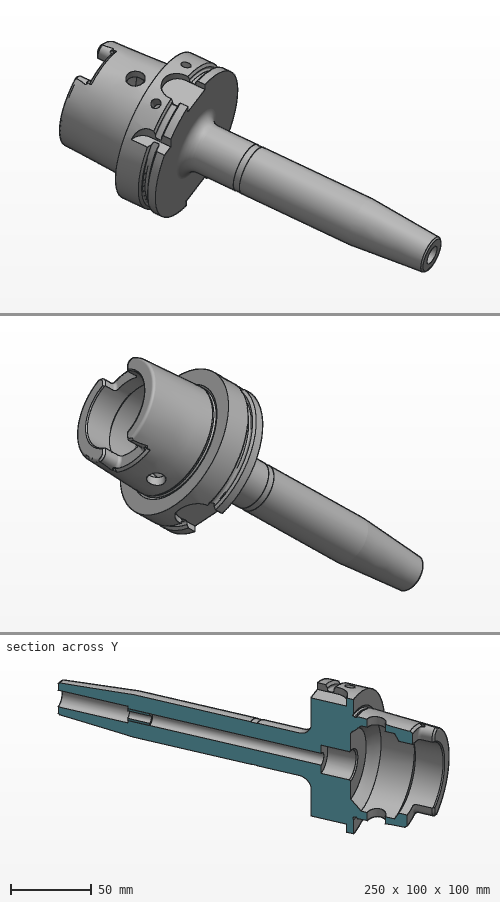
import cadquery as cq
import math


total_length = 250.0
flange_start = 50.0
flange_width = 29.0
flange_end = flange_start + flange_width

taper_start_radius = 35.7
taper_end_radius = 38.1
mouth_round = 1.8
relief_width = 2.5
relief_start = flange_start - relief_width
relief_radius = 37.2
relief_step = 0.8
relief_flat = 1.0
face_recess_inner_radius = 38.0
face_recess_radius = 39.4
face_recess_depth = 0.5

bore_radius = 26.5
bore_chamfer = 0.8
bore_straight_depth = 19.5
clamp_radius = 31.5
clamp_shoulder_angle = 60.0
clamp_shoulder_length = (clamp_radius - bore_radius) / math.tan(math.radians(clamp_shoulder_angle))
bore_floor_radius = 24.4
bore_depth = 52.0
bore_floor_chamfer = clamp_radius - bore_floor_radius
tube_seat_radius = 11.2
tube_seat_inner_radius = 10.3
tube_seat_depth = 20.0
tube_seat_chamfer = tube_seat_radius - tube_seat_inner_radius
cross_hole_diameter = 12.0
cross_hole_x = 34.7

drive_slot_half_width = 10.2
drive_corner_radius = 5.0
upper_slot_depth = 10.0
lower_slot_depth = 13.7
drive_floor_fillet = 2.0
drive_mouth_chamfer = 1.3
drive_slot_runout = 5.0
drive_slot_inner_z = 15.0
drive_slot_outer_z = 45.0
floor_chamfer_length = 1.8
floor_chamfer_depth = 1.6

flange_radius = 50.0
groove_center_x = flange_start + 20.0
groove_half_width = 3.4
groove_bottom_radius = 45.6
groove_flare_angle = 30.0
groove_wall_half = 2.2
groove_corner_round = 1.1
groove_flare_depth = (groove_half_width - groove_wall_half) / math.tan(math.radians(groove_flare_angle))

keyway_start = 55.0
upper_key_half_width = 10.2
lower_key_half_width = 12.5
key_floor_z = 44.0
notch_start = 54.8
notch_cutter_radius = 9.5
notch_wall_y = -31.2
notch_floor_z = 31.4

balance_hole_diameter = 6.4
balance_hole_x = 59.7
balance_hole_depth = 10.0
balance_hole_angles = (-23.0, 20.0)
drill_point_angle = 118.0

neck_radius = 16.0
neck_fillet = 8.0
band_start = 115.2
band_end = 119.6
band_depth = 0.2
tip_radius = 12.0
tip_chamfer = 1.0
tip_taper_angle = 4.5
tip_taper_length = (neck_radius - tip_radius) / math.tan(math.radians(tip_taper_angle))

tool_bore_radius = 6.0
tool_bore_depth = 47.0
screw_radius = 4.2
screw_bore_radius = 2.6
screw_length = 15.0
screw_end = total_length - tool_bore_depth


def revolve_about_x(outline):
    """Turn a closed (x, radius) outline about the X axis."""
    return outline.close().revolve(360, (0, 0, 0), (1, 0, 0))


def turned_body():
    flare_end_radius = flange_radius - groove_flare_depth
    corner_radius = groove_bottom_radius + groove_corner_round
    groove_bottom_half = groove_wall_half - groove_corner_round
    neck_start = flange_end + neck_fillet
    outline = (
        cq.Workplane("XY")
        .moveTo(0, 0)
        .lineTo(0, taper_start_radius)
        .lineTo(relief_start, taper_end_radius)
        .lineTo(relief_start + relief_step, relief_radius)
        .lineTo(relief_start + relief_step + relief_flat, relief_radius)
        .lineTo(flange_start + face_recess_depth, face_recess_inner_radius)
        .lineTo(flange_start, face_recess_radius)
        .lineTo(flange_start, flange_radius)
        .lineTo(groove_center_x - groove_half_width, flange_radius)
        .lineTo(groove_center_x - groove_wall_half, flare_end_radius)
        .lineTo(groove_center_x - groove_wall_half, corner_radius)
        .radiusArc((groove_center_x - groove_bottom_half, groove_bottom_radius), -groove_corner_round)
        .lineTo(groove_center_x + groove_bottom_half, groove_bottom_radius)
        .radiusArc((groove_center_x + groove_wall_half, corner_radius), -groove_corner_round)
        .lineTo(groove_center_x + groove_wall_half, flare_end_radius)
        .lineTo(groove_center_x + groove_half_width, flange_radius)
        .lineTo(flange_end, flange_radius)
        .lineTo(flange_end, neck_radius + neck_fillet)
        .radiusArc((neck_start, neck_radius), -neck_fillet)
        .lineTo(band_start, neck_radius)
        .lineTo(band_start, neck_radius - band_depth)
        .lineTo(band_end, neck_radius - band_depth)
        .lineTo(band_end, neck_radius)
        .lineTo(total_length - tip_taper_length, neck_radius)
        .lineTo(total_length, tip_radius)
        .lineTo(total_length, 0)
    )
    body = revolve_about_x(outline)
    body = body.faces("<X").edges().fillet(mouth_round)
    return body.faces(">X").edges().chamfer(tip_chamfer)


def inner_passage():
    seat_end = bore_depth + tube_seat_depth
    outline = (
        cq.Workplane("XY")
        .moveTo(0, 0)
        .lineTo(0, bore_radius + bore_chamfer)
        .lineTo(bore_chamfer, bore_radius)
        .lineTo(bore_straight_depth, bore_radius)
        .lineTo(bore_straight_depth + clamp_shoulder_length, clamp_radius)
        .lineTo(bore_depth - bore_floor_chamfer, clamp_radius)
        .lineTo(bore_depth, bore_floor_radius)
        .lineTo(bore_depth, tube_seat_radius)
        .lineTo(bore_depth + tube_seat_chamfer, tube_seat_inner_radius)
        .lineTo(seat_end, tube_seat_inner_radius)
        .lineTo(seat_end, screw_radius)
        .lineTo(screw_end, screw_radius)
        .lineTo(screw_end, tool_bore_radius)
        .lineTo(total_length, tool_bore_radius)
        .lineTo(total_length, 0)
    )
    return revolve_about_x(outline)


def cross_hole():
    return (
        cq.Workplane("XY")
        .center(cross_hole_x, 0)
        .circle(cross_hole_diameter / 2)
        .extrude(flange_radius, both=True)
    )


def taper_radius(x):
    return taper_start_radius + (taper_end_radius - taper_start_radius) * x / relief_start


def drive_slot_outline(depth):
    """Slot section across X, flaring through rounded land corners into the outer taper."""
    land_radius = taper_radius(depth)
    center_y = drive_slot_half_width + drive_corner_radius
    center_distance = land_radius - drive_corner_radius
    center_z = math.sqrt(center_distance**2 - center_y**2)
    out_y = center_y / center_distance
    out_z = center_z / center_distance
    tangent_y = land_radius * out_y
    tangent_z = land_radius * out_z
    half_angle = (math.pi + math.atan2(out_z, out_y)) / 2
    middle_y = center_y + drive_corner_radius * math.cos(half_angle)
    middle_z = center_z + drive_corner_radius * math.sin(half_angle)
    runout_y = tangent_y + drive_slot_runout * out_z
    runout_z = tangent_z - drive_slot_runout * out_y
    return (
        cq.Workplane("YZ")
        .moveTo(-drive_slot_half_width, drive_slot_inner_z)
        .lineTo(-drive_slot_half_width, center_z)
        .threePointArc((-middle_y, middle_z), (-tangent_y, tangent_z))
        .lineTo(-runout_y, runout_z)
        .lineTo(-runout_y, drive_slot_outer_z)
        .lineTo(runout_y, drive_slot_outer_z)
        .lineTo(runout_y, runout_z)
        .lineTo(tangent_y, tangent_z)
        .threePointArc((middle_y, middle_z), (drive_slot_half_width, center_z))
        .lineTo(drive_slot_half_width, drive_slot_inner_z)
        .close()
    )


def drive_floor_chamfer(depth):
    """Wedge ring that breaks the outer edge of a slot floor, cut off at the slot's rounded corners."""
    start_x = depth - floor_chamfer_length
    end_x = depth + floor_chamfer_length
    end_radius = taper_radius(end_x)
    floor_radius = end_radius - floor_chamfer_depth
    ring = revolve_about_x(
        cq.Workplane("XY")
        .moveTo(start_x, floor_radius)
        .lineTo(depth, floor_radius)
        .lineTo(end_x, end_radius)
        .lineTo(end_x, flange_radius)
        .lineTo(start_x, flange_radius)
    )
    width = 2 * (drive_slot_half_width + drive_corner_radius)
    window = cq.Workplane("XY").box(flange_start, width, flange_radius, centered=(False, True, False))
    return ring.intersect(window)


def drive_slot_cutters(depth):
    """Cutters for a slot at +Z: body with filleted floor, chamfered mouth and outer floor edge."""
    outline = drive_slot_outline(depth)
    slot = outline.extrude(depth).faces(">X").edges().fillet(drive_floor_fillet)
    wide_outline = drive_slot_outline(depth).offset2D(drive_mouth_chamfer)
    mouth = wide_outline.extrude(drive_mouth_chamfer, taper=45)
    return [slot, mouth, drive_floor_chamfer(depth)]


def round_ended_slot(start_x, center_y, half_width, floor_z):
    """Milled slot open at the rear of the flange, with a round front end, above floor_z."""
    round_x = start_x + half_width
    return (
        cq.Workplane("XY", origin=(0, center_y, floor_z))
        .moveTo(flange_end, -half_width)
        .lineTo(round_x, -half_width)
        .threePointArc((start_x, 0), (round_x, half_width))
        .lineTo(flange_end, half_width)
        .close()
        .extrude(flange_radius)
    )


def balance_hole(angle):
    """Radial blind hole with a drill point, turned from +Z about the X axis."""
    radius = balance_hole_diameter / 2
    floor_z = flange_radius - balance_hole_depth
    point_depth = radius / math.tan(math.radians(drill_point_angle / 2))
    return (
        cq.Workplane("XZ")
        .moveTo(0, floor_z - point_depth)
        .lineTo(radius, floor_z)
        .lineTo(radius, flange_radius + radius)
        .lineTo(0, flange_radius + radius)
        .close()
        .revolve(360, (0, 0, 0), (0, 1, 0))
        .translate((balance_hole_x, 0, 0))
        .rotate((0, 0, 0), (1, 0, 0), angle)
    )


def upside_down(shape):
    return shape.rotate((0, 0, 0), (1, 0, 0), 180)


def build_holder():
    holder = turned_body().cut(inner_passage()).cut(cross_hole())
    for cutter in drive_slot_cutters(upper_slot_depth):
        holder = holder.cut(cutter)
    for cutter in drive_slot_cutters(lower_slot_depth):
        holder = holder.cut(upside_down(cutter))
    holder = holder.cut(round_ended_slot(keyway_start, 0, upper_key_half_width, key_floor_z))
    holder = holder.cut(upside_down(round_ended_slot(keyway_start, 0, lower_key_half_width, key_floor_z)))
    notch_y = notch_wall_y - notch_cutter_radius
    holder = holder.cut(round_ended_slot(notch_start, notch_y, notch_cutter_radius, notch_floor_z))
    for angle in balance_hole_angles:
        holder = holder.cut(balance_hole(angle))
    return holder


def build_stop_screw():
    return (
        cq.Workplane("YZ", origin=(screw_end - screw_length, 0, 0))
        .circle(screw_radius)
        .circle(screw_bore_radius)
        .extrude(screw_length)
    )


holder = build_holder()
stop_screw = build_stop_screw()
result = cq.Compound.makeCompound([holder.val(), stop_screw.val()])